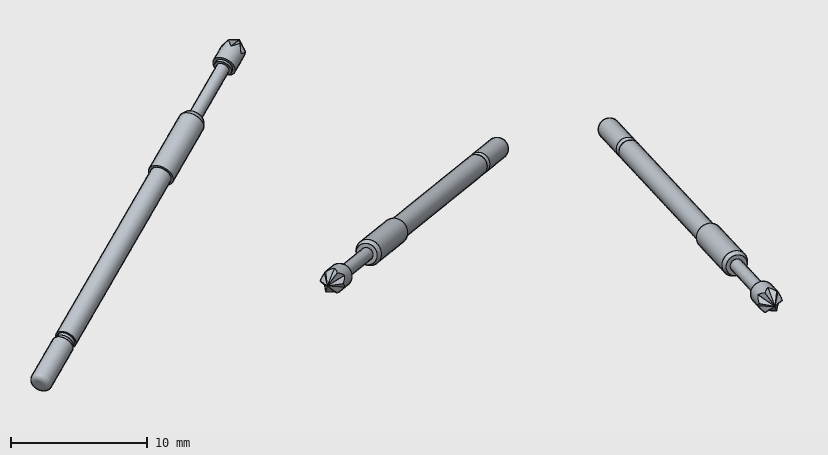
import cadquery as cq
import math

overall_length = 36.3

head_radius = 0.9
collar_radius = 0.7
plunger_radius = 0.5
sleeve_radius = 1.0
sleeve_nose_radius = 0.82
barrel_radius = 0.825
groove_radius = 0.7

head_end = 2.8
collar_end = 3.0
sleeve_start = 8.3
sleeve_nose_length = 0.4
sleeve_end = 14.25
groove_start = 31.5
groove_floor_length = 0.25
groove_end = 32.05
rear_rounding = 0.4

ridge_count = 6
ridge_slope = 1.0
valley_length = 1.5
valley_slope = head_radius / valley_length


def station(distance_from_tip):
    """Y coordinate of a point given by its distance behind the tip."""
    return overall_length - distance_from_tip


def make_body():
    """Turned body, with the head still a plain cylinder up to the tip."""
    rear_arc_middle = (
        barrel_radius - rear_rounding * (1 - math.cos(math.pi / 4)),
        rear_rounding * (1 - math.sin(math.pi / 4)),
    )
    profile = (
        cq.Workplane("XY")
        .moveTo(0, station(0))
        .lineTo(head_radius, station(0))
        .lineTo(head_radius, station(head_end))
        .lineTo(collar_radius, station(head_end))
        .lineTo(collar_radius, station(collar_end))
        .lineTo(plunger_radius, station(collar_end))
        .lineTo(plunger_radius, station(sleeve_start))
        .lineTo(sleeve_nose_radius, station(sleeve_start))
        .lineTo(sleeve_radius, station(sleeve_start + sleeve_nose_length))
        .lineTo(sleeve_radius, station(sleeve_end))
        .lineTo(barrel_radius, station(sleeve_end))
        .lineTo(barrel_radius, station(groove_start))
        .lineTo(groove_radius, station(groove_start))
        .lineTo(groove_radius, station(groove_start + groove_floor_length))
        .lineTo(barrel_radius, station(groove_end))
        .lineTo(barrel_radius, rear_rounding)
        .threePointArc(rear_arc_middle, (barrel_radius - rear_rounding, 0))
        .lineTo(0, 0)
        .close()
    )
    return profile.revolve(360, (0, 0, 0), (0, 1, 0))


def make_crown_envelope(depth):
    """Star-based pyramid with its apex at the tip and its base at the given depth."""
    apex = cq.Vector(0, station(0), 0)
    rim = []
    for index in range(2 * ridge_count):
        slope = ridge_slope if index % 2 == 0 else valley_slope
        angle = index * math.pi / ridge_count
        radius = slope * depth
        rim.append(cq.Vector(radius * math.cos(angle), station(depth), radius * math.sin(angle)))

    faces = [cq.Face.makeFromWires(cq.Wire.makePolygon(rim + rim[:1]))]
    for index, corner in enumerate(rim):
        previous = rim[index - 1]
        faces.append(cq.Face.makeFromWires(cq.Wire.makePolygon([apex, previous, corner, apex])))
    return cq.Workplane(obj=cq.Solid.makeSolid(cq.Shell.makeShell(faces)))


def make_head_blank():
    """Cylinder holding the part of the head that the crown is cut from."""
    return (
        cq.Workplane("XZ", origin=(0, station(0), 0))
        .circle(sleeve_radius)
        .extrude(head_end)
    )


crown_waste = make_head_blank().cut(make_crown_envelope(head_end))
result = make_body().cut(crown_waste)